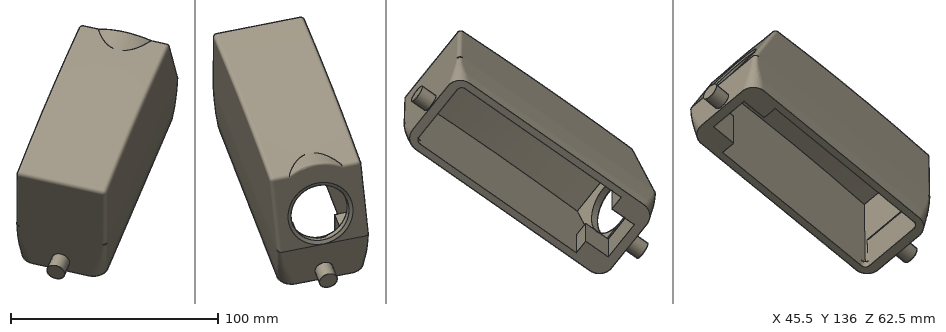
import cadquery as cq
import math

PIN_SPAN = 136.0
PEAK_HEIGHT = 62.5
BODY_WIDTH = 45.5
BODY_LENGTH = 120.0
WALL = 4.8

SHOULDER_Z = 23.1
CROWN_Z = 61.2
FRONT_TOP_Z = 58.8
END_DRAFT = 0.014
SLOPE_TOP_Y = 45.5
SLOPE_TOP_Z = 59.3
EDGE_RADIUS = 1.9

SKIRT_BREAK_Z = 6.8
SKIRT_MIDDLE_Z = 14.3
BREAK_WIDTH = 44.5
BASE_WIDTH = 43.1
MIDDLE_RADIUS = 3.0
BREAK_RADIUS = 5.5
BASE_RADIUS = 7.5

ENTRY_Y = 53.7
ENTRY_RADIUS = 14.4
ENTRY_RIM_RADIUS = 16.2
ENTRY_RIM_DEPTH = 0.8
ENTRY_DEPTH = 10.9

CREST_WIDTH = 28.5
CREST_DEPTH = 19.0
CREST_FLARE = 0.12
CREST_BASE_Z = 54.4
CREST_EDGE_RADIUS = 1.4

PIN_DIAMETER = 9.0
PIN_Z = 6.3

PILLAR_GAP = 21.0
PILLAR_LENGTH = 13.6

half_length = BODY_LENGTH / 2
shoulder_y = half_length - END_DRAFT * SHOULDER_Z
slope_run = shoulder_y - SLOPE_TOP_Y
slope_rise = SLOPE_TOP_Z - SHOULDER_Z
slope_length = math.hypot(slope_run, slope_rise)
axis_y = slope_rise / slope_length
axis_z = slope_run / slope_length
entry_z = SHOULDER_Z + (shoulder_y - ENTRY_Y) * slope_rise / slope_run


def entry_plane():
    """Plane parallel to the sloping face, its normal pointing into the hood."""
    origin = (0, ENTRY_Y, entry_z)
    return cq.Plane(origin=origin, xDir=(1, 0, 0), normal=(0, -axis_y, -axis_z))


def side_profile(base_z):
    """Side outline above base_z, with an arched top and a sloping rear face."""
    profile = cq.Workplane("YZ").moveTo(-half_length + END_DRAFT * base_z, base_z)
    profile = (
        profile.lineTo(-half_length + END_DRAFT * FRONT_TOP_Z, FRONT_TOP_Z)
        .threePointArc((0, CROWN_Z), (SLOPE_TOP_Y, SLOPE_TOP_Z))
        .lineTo(shoulder_y, SHOULDER_Z)
    )
    if base_z < SHOULDER_Z:
        profile = profile.lineTo(half_length, base_z)
    return profile.close()


def skirt_section(z, width, radius):
    """Rounded rectangular outline of the skirt at height z."""
    length = BODY_LENGTH - 2 * END_DRAFT * z
    outline = cq.Sketch().rect(width, length).vertices().fillet(radius)
    return outline.moved(cq.Location(cq.Vector(0, 0, z)))


def make_shell():
    upper = side_profile(SHOULDER_Z).extrude(BODY_WIDTH / 2, both=True)
    upper = upper.faces("not <Z").edges("not <Z").fillet(EDGE_RADIUS)
    at_break = skirt_section(SKIRT_BREAK_Z, BREAK_WIDTH, BREAK_RADIUS)
    middle_width = (BODY_WIDTH + BREAK_WIDTH) / 2
    curved = cq.Workplane().placeSketch(
        at_break,
        skirt_section(SKIRT_MIDDLE_Z, middle_width, MIDDLE_RADIUS),
        skirt_section(SHOULDER_Z, BODY_WIDTH, EDGE_RADIUS),
    ).loft()
    base = cq.Workplane().placeSketch(skirt_section(0, BASE_WIDTH, BASE_RADIUS), at_break).loft()
    return upper.union(curved).union(base)


def make_crest():
    """Flared round crest, kept only where it stands above the hood top."""
    round_center_z = PEAK_HEIGHT - CREST_EDGE_RADIUS
    round_center_radius = (round_center_z - entry_z + CREST_EDGE_RADIUS * axis_z) / axis_y
    flare_secant = math.hypot(1, CREST_FLARE)
    radius = round_center_radius + CREST_EDGE_RADIUS * (flare_secant - CREST_FLARE)
    crest = (
        cq.Workplane(entry_plane())
        .circle(radius)
        .workplane(offset=CREST_DEPTH)
        .circle(radius + CREST_DEPTH * CREST_FLARE)
        .loft()
        .faces(cq.selectors.DirectionMinMaxSelector(cq.Vector(0, axis_y, axis_z)))
        .edges()
        .fillet(CREST_EDGE_RADIUS)
    )
    keep = cq.Workplane().box(
        CREST_WIDTH, BODY_LENGTH, PEAK_HEIGHT, centered=(True, True, False)
    ).translate((0, 0, CREST_BASE_Z))
    return crest.intersect(keep)


def make_cavity():
    cavity = (
        side_profile(0)
        .offset2D(-WALL)
        .extrude(BODY_WIDTH / 2 - WALL, both=True)
    )
    mouth_length = BODY_LENGTH - 2 * WALL
    mouth = cq.Workplane().rect(BODY_WIDTH - 2 * WALL, mouth_length).extrude(SHOULDER_Z)
    cavity = cavity.union(mouth.edges("|Z").fillet(BASE_RADIUS - WALL))
    pillar_y = half_length - WALL - PILLAR_LENGTH / 2
    for side in (-1, 1):
        pillar_x = side * (PILLAR_GAP + BODY_WIDTH) / 4
        pillar = (
            cq.Workplane()
            .center(pillar_x, pillar_y)
            .rect((BODY_WIDTH - PILLAR_GAP) / 2, PILLAR_LENGTH)
            .extrude(SHOULDER_Z)
        )
        cavity = cavity.cut(pillar)
    return cavity


def make_entry():
    bore = cq.Workplane(entry_plane()).circle(ENTRY_RADIUS).extrude(ENTRY_DEPTH)
    rim = (
        cq.Workplane(entry_plane())
        .circle(ENTRY_RIM_RADIUS)
        .workplane(offset=ENTRY_RIM_DEPTH)
        .circle(ENTRY_RADIUS)
        .loft()
    )
    return bore.union(rim)


def make_pin(end):
    """Locking pin on the end wall at the given Y sign."""
    length = PIN_SPAN / 2 - half_length + WALL / 2
    start_y = end * (PIN_SPAN / 2 - length)
    return (
        cq.Workplane(cq.Plane((0, start_y, PIN_Z), (1, 0, 0), (0, end, 0)))
        .circle(PIN_DIAMETER / 2)
        .extrude(length)
    )


result = make_shell().union(make_crest()).cut(make_cavity()).cut(make_entry())
for end in (-1, 1):
    result = result.union(make_pin(end))